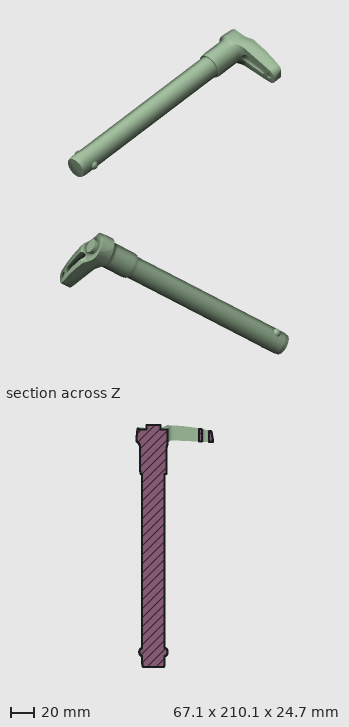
import cadquery as cq
import math


SHANK_RADIUS = 10.0
SHANK_LENGTH = 167.1
TIP_TAPER_LENGTH = 3.9
TIP_RADIUS = 9.3

BALL_RADIUS = 4.0
BALL_SPAN = 25.0
BALL_TO_TIP = 13.3

COLLAR_RADIUS = 11.7
COLLAR_END_RADIUS = 11.25
COLLAR_CHAMFER_LENGTH = 1.9
COLLAR_BAND_LENGTH = 3.8
COLLAR_BAND_RADIUS = 11.6
NECK_START_Y = 23.3
NECK_FILLET = 6.0
NECK_TOP_Y = NECK_START_Y + NECK_FILLET
NECK_OVERLAP = 2.0

BUTTON_RADIUS = 6.2
BUTTON_TOP_Y = 43.0
BUTTON_OVERLAP = 2.0

HEAD_RADIUS = 12.35
TIP_END_X = 52.0
REAR_END_X = -15.1
LEVER_TAPER = math.radians(6.4)

LEVER_CREST_X = 10.5
LEVER_CREST_Y = 42.35
LEVER_BACK_MID_X = 30.5
LEVER_BACK_MID_Y = 41.0
LEVER_TIP_TOP_X = 50.4
LEVER_TIP_TOP_Y = 37.3
LEVER_TIP_BOTTOM_Y = 27.55
UNDERSIDE_BREAK_X = 14.3

REAR_DRAFT = math.radians(6.0)
REAR_DRAFT_RADIUS = 13.3
REAR_DRAFT_START_Y = 28.4
REAR_DRAFT_LIMIT_X = -7.0

DISH_FLOOR_Y = 39.0
DISH_FLOOR_RADIUS = 12.3
DISH_WALL_ANGLE = math.radians(40.0)
DISH_CLEAR_Y = 44.0

SLOT_START_X = 12.4
SLOT_END_X = 39.4
SLOT_START_RADIUS = 4.2
SLOT_END_RADIUS = 3.1
HOLE_X = 45.0
HOLE_DIAMETER = 5.5

TRIM_LENGTH = 60.0


def revolve_about_pin(points):
    """Solid of revolution about Y from (radius, y) points."""
    return cq.Workplane("XY").polyline(points).close().revolve(360, (0, 0, 0), (0, 1, 0))


def along_pin(outline):
    """Extrude an XZ outline from Y = 0 toward +Y, past the whole lever."""
    return outline.extrude(-TRIM_LENGTH)


def tapered_outline(start_x, start_radius, end_x, end_radius):
    """Outline in XZ of two circles on the X axis joined by their outer tangents."""
    sine = (start_radius - end_radius) / (end_x - start_x)
    cosine = math.sqrt(1 - sine ** 2)
    start_tangent = (start_x + start_radius * sine, start_radius * cosine)
    end_tangent = (end_x + end_radius * sine, end_radius * cosine)
    return (
        cq.Workplane("XZ")
        .moveTo(*start_tangent)
        .lineTo(*end_tangent)
        .threePointArc((end_x + end_radius, 0), (end_tangent[0], -end_tangent[1]))
        .lineTo(start_tangent[0], -start_tangent[1])
        .threePointArc((start_x - start_radius, 0), start_tangent)
        .close()
    )


def lever_plan():
    """Prism along Y with the lever's outline: head circle, rounded tip and rounded rear."""
    taper = math.sin(LEVER_TAPER)
    tip_x = (TIP_END_X - HEAD_RADIUS) / (1 - taper)
    rear_x = (REAR_END_X + HEAD_RADIUS) / (1 - taper)
    tip_radius = TIP_END_X - tip_x
    rear_radius = rear_x - REAR_END_X
    front = along_pin(tapered_outline(0, HEAD_RADIUS, tip_x, tip_radius))
    rear = along_pin(tapered_outline(rear_x, rear_radius, 0, HEAD_RADIUS))
    return front.union(rear)


def lever_side():
    """Side profile of the lever: arched back, sloped tip and sloped underside."""
    return (
        cq.Workplane("XY")
        .moveTo(-TRIM_LENGTH, LEVER_CREST_Y)
        .lineTo(LEVER_CREST_X, LEVER_CREST_Y)
        .threePointArc((LEVER_BACK_MID_X, LEVER_BACK_MID_Y), (LEVER_TIP_TOP_X, LEVER_TIP_TOP_Y))
        .lineTo(TIP_END_X, LEVER_TIP_BOTTOM_Y)
        .lineTo(UNDERSIDE_BREAK_X, NECK_TOP_Y)
        .lineTo(-TRIM_LENGTH, NECK_TOP_Y)
        .close()
        .extrude(TRIM_LENGTH, both=True)
    )


def neck():
    """Neck that flares in a quarter arc from the collar to the underside of the lever."""
    flare_radius = COLLAR_RADIUS + NECK_FILLET
    mid_offset = NECK_FILLET * math.sqrt(0.5)
    flare_middle = (flare_radius - mid_offset, NECK_START_Y + mid_offset)
    return (
        cq.Workplane("XY")
        .moveTo(0, NECK_START_Y)
        .lineTo(COLLAR_RADIUS, NECK_START_Y)
        .threePointArc(flare_middle, (flare_radius, NECK_TOP_Y))
        .lineTo(0, NECK_TOP_Y)
        .close()
        .revolve(360, (0, 0, 0), (0, 1, 0))
    )


def rear_draft_cut():
    """Material behind a cylinder that leans toward the pin, sloping the rear of the head."""
    lean = cq.Vector(math.sin(REAR_DRAFT), math.cos(REAR_DRAFT), 0)
    axis_point = cq.Vector(REAR_END_X + REAR_DRAFT_RADIUS, REAR_DRAFT_START_Y, 0)
    cylinder = cq.Solid.makeCylinder(
        REAR_DRAFT_RADIUS, 2 * TRIM_LENGTH, axis_point - lean * TRIM_LENGTH, lean
    )
    behind = cq.Workplane("XY").box(TRIM_LENGTH, TRIM_LENGTH, TRIM_LENGTH).translate(
        (REAR_DRAFT_LIMIT_X - TRIM_LENGTH / 2, REAR_DRAFT_START_Y + TRIM_LENGTH / 2, 0)
    )
    return behind.cut(cq.Workplane(cylinder))


def dish():
    """Shallow flat-floored cone sunk into the top of the head."""
    rim_radius = DISH_FLOOR_RADIUS + (DISH_CLEAR_Y - DISH_FLOOR_Y) / math.tan(DISH_WALL_ANGLE)
    return revolve_about_pin([
        (0, DISH_FLOOR_Y),
        (DISH_FLOOR_RADIUS, DISH_FLOOR_Y),
        (rim_radius, DISH_CLEAR_Y),
        (0, DISH_CLEAR_Y),
    ])


def lever():
    """Lever with its neck, dish, slot and hole."""
    slot = along_pin(tapered_outline(
        SLOT_START_X + SLOT_START_RADIUS,
        SLOT_START_RADIUS,
        SLOT_END_X - SLOT_END_RADIUS,
        SLOT_END_RADIUS,
    ))
    hole = along_pin(cq.Workplane("XZ").center(HOLE_X, 0).circle(HOLE_DIAMETER / 2))
    body = lever_side().union(neck()).intersect(lever_plan())
    return body.cut(rear_draft_cut()).cut(dish()).cut(slot).cut(hole)


def pin():
    """Collar and shank."""
    return revolve_about_pin([
        (0, NECK_START_Y + NECK_OVERLAP),
        (COLLAR_RADIUS, NECK_START_Y + NECK_OVERLAP),
        (COLLAR_RADIUS, COLLAR_BAND_LENGTH),
        (COLLAR_BAND_RADIUS, COLLAR_CHAMFER_LENGTH),
        (COLLAR_END_RADIUS, 0),
        (SHANK_RADIUS, 0),
        (SHANK_RADIUS, TIP_TAPER_LENGTH - SHANK_LENGTH),
        (TIP_RADIUS, -SHANK_LENGTH),
        (0, -SHANK_LENGTH),
    ])


def button():
    """Push button standing in the middle of the dish."""
    base = cq.Workplane("XZ", origin=(0, DISH_FLOOR_Y - BUTTON_OVERLAP, 0)).circle(BUTTON_RADIUS)
    return base.extrude(DISH_FLOOR_Y - BUTTON_OVERLAP - BUTTON_TOP_Y)


def ball(side):
    """Locking ball on the -X (side = -1) or +X (side = 1) flank of the shank."""
    center_x = side * (BALL_SPAN / 2 - BALL_RADIUS)
    return cq.Workplane("XY").sphere(BALL_RADIUS).translate((center_x, BALL_TO_TIP - SHANK_LENGTH, 0))


result = pin().union(lever()).union(button())
for flank in (-1, 1):
    result = result.union(ball(flank))